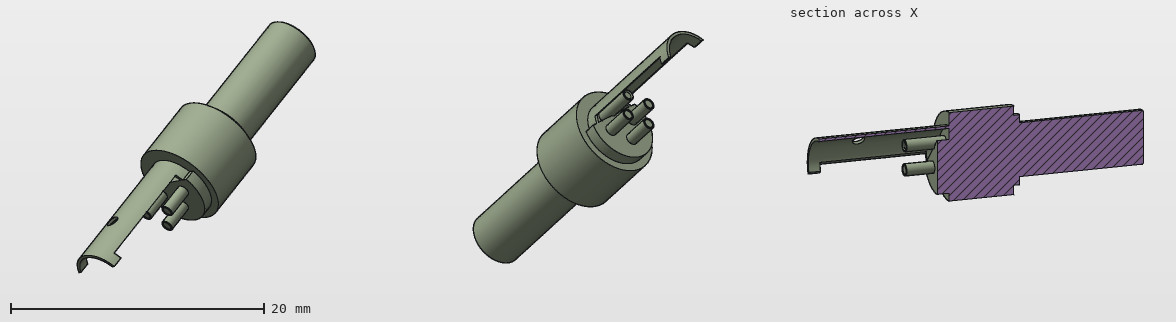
import cadquery as cq


total_length = 27.5
collar_length = 5.5
flange_length = 0.5
shell_length = 11.0
insert_length = 1.0
pin_length = 3.4
barrel_length = total_length - shell_length - collar_length - flange_length

collar_diameter = 7.3
collar_radius = collar_diameter / 2
flange_radius = 2.9
barrel_radius = 2.23
barrel_chamfer = 0.1
insert_radius = 3.0
shell_outer_radius = 2.55
shell_inner_radius = 2.3

keying_angle = -45.0
insert_flat_offset = 1.02
shell_relief_offset = 1.6
shell_tab_length = 1.0
shell_hole_diameter = 1.0
shell_hole_from_end = 4.0

pin_offset = 1.0
pin_radius = 0.5
pin_chamfer = 0.05
cup_rim_radius = 0.4
shallow_cup_floor_radius = 0.35
deep_cup_floor_radius = 0.3


def cylinder(radius, start, length):
    """Solid cylinder about the Y axis, from Y = start towards +Y."""
    return cq.Workplane("XZ", origin=(0, start, 0)).circle(radius).extrude(-length)


def region_above(height, start, length):
    """Block filling everything above Z = height over a stretch of Y."""
    width = collar_diameter
    base_plane = cq.Workplane("XY", origin=(0, start, height))
    return base_plane.box(width, length, width, centered=(True, False, False))


def turn_to_key(body):
    """Turn a body built facing +Z to the keyed direction."""
    return body.rotate((0, 0, 0), (0, 1, 0), keying_angle)


def make_core():
    """Collar with the rear flange and the chamfered barrel behind it."""
    barrel = cylinder(barrel_radius, collar_length + flange_length, barrel_length)
    barrel = barrel.faces(">Y").chamfer(barrel_chamfer)
    flange = cylinder(flange_radius, collar_length, flange_length)
    return cylinder(collar_radius, 0, collar_length).union(flange).union(barrel)


def make_insert():
    """Disc segment on the front of the collar, cut flat on the keyed side."""
    disc = cylinder(insert_radius, -insert_length, insert_length)
    return turn_to_key(disc.cut(region_above(insert_flat_offset, -insert_length, insert_length)))


def make_shell():
    """Thin curved shell with a cross hole and wider tabs at its free end."""
    tube = cylinder(shell_outer_radius, -shell_length, shell_length)
    tube = tube.cut(cylinder(shell_inner_radius, -shell_length, shell_length))
    shell = tube.intersect(region_above(insert_flat_offset, -shell_length, shell_length))

    relief_start = -shell_length + shell_tab_length
    relief_length = shell_length - shell_tab_length - insert_length
    relief = region_above(0, relief_start, relief_length).cut(
        region_above(shell_relief_offset, relief_start, relief_length)
    )
    hole = (
        cq.Workplane("XY")
        .center(0, -shell_length + shell_hole_from_end)
        .circle(shell_hole_diameter / 2)
        .extrude(collar_radius)
    )
    return turn_to_key(shell.cut(relief).cut(hole))


def make_pin(x, z, cup_floor_radius):
    """Contact pin with a chamfered tip hollowed by a shallow cup with sloping walls."""
    tip = -pin_length
    cup_depth = cup_rim_radius - cup_floor_radius
    profile = [
        (0, 0),
        (pin_radius, 0),
        (pin_radius, tip + pin_chamfer),
        (pin_radius - pin_chamfer, tip),
        (cup_rim_radius, tip),
        (cup_floor_radius, tip + cup_depth),
        (0, tip + cup_depth),
    ]
    pin = cq.Workplane("XY").polyline(profile).close().revolve(360, (0, 0, 0), (0, 1, 0))
    return pin.translate((x, 0, z))


result = make_core().union(make_insert()).union(make_shell())
for side_x in (-1, 1):
    for side_z in (-1, 1):
        is_under_shell = side_x < 0 < side_z
        cup_floor_radius = deep_cup_floor_radius if is_under_shell else shallow_cup_floor_radius
        result = result.union(make_pin(side_x * pin_offset, side_z * pin_offset, cup_floor_radius))